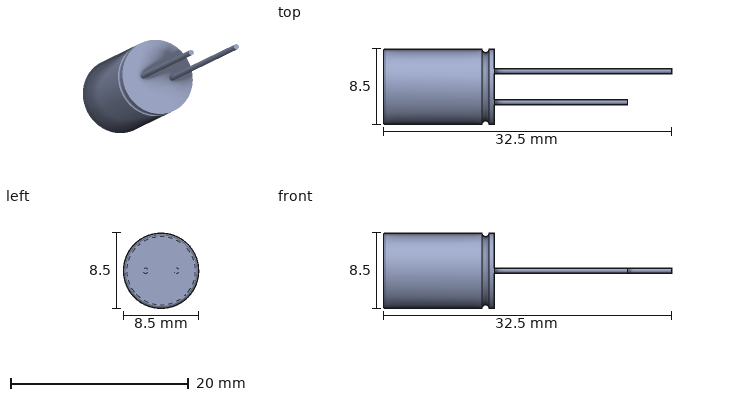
import cadquery as cq

can_length = 12.51
can_diameter = 8.5
can_radius = can_diameter / 2
closed_end_fillet = 0.2

groove_radius = 0.395
groove_center_to_lead_end = 0.985
groove_center_x = can_length - groove_center_to_lead_end

lead_diameter = 0.6
lead_pitch = 3.5
long_lead_length = 20.0
short_lead_length = 15.0


def make_can():
    """Revolve the can's half section, with its rounded end and groove, about the X axis."""
    half_section = (
        cq.Workplane("XZ")
        .lineTo(0, can_radius - closed_end_fillet)
        .radiusArc((closed_end_fillet, can_radius), closed_end_fillet)
        .lineTo(groove_center_x - groove_radius, can_radius)
        .threePointArc(
            (groove_center_x, can_radius - groove_radius),
            (groove_center_x + groove_radius, can_radius),
        )
        .lineTo(can_length, can_radius)
        .lineTo(can_length, 0)
        .close()
    )
    return half_section.revolve(360, (0, 0, 0), (1, 0, 0))


def make_lead(y_position, length):
    """Build one round wire that butts against the lead end of the can."""
    lead_base = cq.Workplane("YZ", origin=(can_length, y_position, 0))
    return lead_base.circle(lead_diameter / 2).extrude(length)


can = make_can()

lead_layout = [
    (lead_pitch / 2, long_lead_length),
    (-lead_pitch / 2, short_lead_length),
]
leads = [make_lead(y_position, length) for y_position, length in lead_layout]

result = cq.Compound.makeCompound([can.val(), *[lead.val() for lead in leads]])